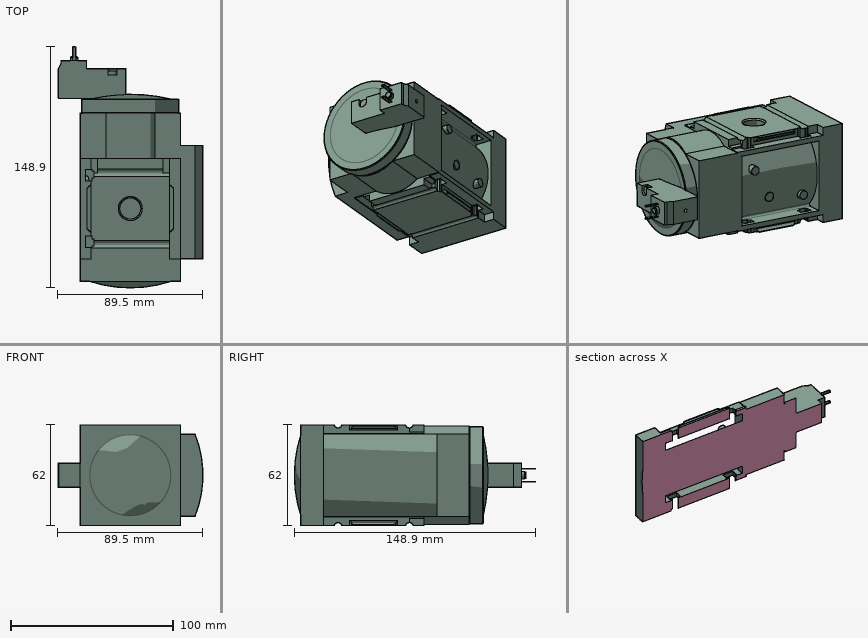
import cadquery as cq
import math


body_half = 31.0
body_front_y = -45.0
frame_half = 31.0
collar_back_y = 58.9
dome_diameter = 50.0
front_dome_height = 4.0

collar_flat_z = 25.3
crown_half_width = 15.1
crown_top_z = 30.5

head_diameter = 60.0
head_neck_diameter = 58.5
head_neck_length = 0.4
head_back_y = 67.6
head_edge = 0.5
back_dome_height = 2.9

cover_half_z = collar_flat_z
cover_edge_x = 40.0
cover_crown_x = 44.9
cover_back_y = 39.0

pad_half_x = 24.3
ledge_z = 25.8
groove_y = 22.0
groove_radius = 2.4
groove_depth = 1.75
corner_half_x = 20.1
corner_floor_z = 26.7
tongue_reach = 2.5
tongue_half_length = 14.8
tongue_drop = 0.2
tongue_tip_z = 30.3
tongue_hollow_radius = 1.6
tongue_root_z = 27.85
port_diameter = 13.0
port_mouth_diameter = 14.8
port_depth = 15.0

slot_outer_x = -27.7
slot_inner_x = -23.7
slot_near_y = 17.0
slot_far_y = 24.1
neck_inner_x = -22.3
neck_near_y = 18.8
neck_far_y = 23.1

window_front_y = -28.0
window_back_y = 27.85
window_half_z = 22.7
window_fillet = 1.05
drum_radius = 29.0
window_floor_x = -math.sqrt(drum_radius**2 - window_half_z**2)
button_diameter = 5.5
button_face_x = -30.0
button_places = [(17.4, 11.0), (-17.6, -11.0)]
plug_diameter = 6.0
plug_face_x = -28.0
plug_place = (6.0, -8.5)

coil_left_x = -44.55
coil_right_x = -2.7
coil_half_z = 7.45
coil_front_y = 67.8
coil_back_y = 91.2
coil_step_x = -26.95
coil_step_y = 86.25
coil_shoulder_x = -42.8
coil_shoulder_back_y = 89.3
coil_shoulder_front_y = 85.8
coil_corner_radius = 1.0
coil_hole_diameter = 2.0
coil_hole_depth = 5.0
coil_hole_y = 77.0

pin_x = -34.6
pin_z = 4.05
pin_width = 2.0
pin_thickness = 0.5
pin_tip_y = 99.9
pin_tip_chamfer = 0.4
stud_diameter = 4.8
stud_end_y = 93.0
stud_tip_diameter = 3.8
stud_tip_y = 93.9

screw_x = -10.9
screw_z = 4.5
screw_diameter = 5.5
screw_head_y = 84.8
screw_seat_y = 82.2


def box(x0, x1, y0, y1, z0, z1):
    """Box between two opposite corners."""
    return cq.Workplane("XY").box(x1 - x0, y1 - y0, z1 - z0, centered=False).translate((x0, y0, z0))


def rod_y(diameter, y0, y1, x=0.0, z=0.0):
    """Cylinder along Y."""
    return cq.Workplane("XZ", origin=(x, y0, z)).circle(diameter / 2).extrude(y0 - y1)


def rod_x(diameter, x0, x1, y, z):
    """Cylinder along X."""
    return cq.Workplane("YZ", origin=(x0, y, z)).circle(diameter / 2).extrude(x1 - x0)


def dome(base_y, tip_y):
    """Spherical cap on the Y axis, from its base circle to its tip."""
    base_radius = dome_diameter / 2
    height = abs(tip_y - base_y)
    sphere_radius = (base_radius**2 + height**2) / (2 * height)
    center_y = tip_y - math.copysign(sphere_radius, tip_y - base_y)
    mid_angle = math.asin(base_radius / sphere_radius) / 2
    mid_x = sphere_radius * math.sin(mid_angle)
    mid_y = center_y + math.copysign(sphere_radius * math.cos(mid_angle), tip_y - base_y)
    profile = (
        cq.Workplane("XY")
        .moveTo(0, base_y)
        .lineTo(base_radius, base_y)
        .threePointArc((mid_x, mid_y), (0, tip_y))
        .close()
    )
    return profile.revolve(360, (0, 0, 0), (0, 1, 0))


def make_collar():
    """Block behind the body with a round crown on top and bottom."""
    return (
        cq.Workplane("XZ", origin=(0, frame_half, 0))
        .moveTo(-body_half, -collar_flat_z)
        .lineTo(-body_half, collar_flat_z)
        .lineTo(-crown_half_width, collar_flat_z)
        .threePointArc((0, crown_top_z), (crown_half_width, collar_flat_z))
        .lineTo(body_half, collar_flat_z)
        .lineTo(body_half, -collar_flat_z)
        .lineTo(crown_half_width, -collar_flat_z)
        .threePointArc((0, -crown_top_z), (-crown_half_width, -collar_flat_z))
        .close()
        .extrude(frame_half - collar_back_y)
    )


def make_cover():
    """Side cover with a bulged outer face."""
    return (
        cq.Workplane("XZ", origin=(0, -frame_half, 0))
        .moveTo(body_half, -cover_half_z)
        .lineTo(cover_edge_x, -cover_half_z)
        .threePointArc((cover_crown_x, 0), (cover_edge_x, cover_half_z))
        .lineTo(body_half, cover_half_z)
        .close()
        .extrude(-frame_half - cover_back_y)
    )


def make_head():
    """Round adjusting head and its domed cap."""
    neck_end_y = collar_back_y + head_neck_length
    neck = rod_y(head_neck_diameter, collar_back_y, neck_end_y)
    disc = rod_y(head_diameter, neck_end_y, head_back_y).faces(">Y").chamfer(head_edge)
    return neck.union(disc).union(dome(head_back_y, head_back_y + back_dome_height))


def make_tongue():
    """Overhanging tongue on the -X edge of the upper pad, hollow below, with 45 degree ends."""
    tip_x = -pad_half_x - tongue_reach
    top_z = body_half - tongue_drop
    hollow_z = tongue_tip_z - tongue_hollow_radius
    hollow_mid = tongue_hollow_radius * math.sqrt(0.5)
    bar = (
        cq.Workplane("XZ", origin=(0, -tongue_half_length, 0))
        .moveTo(-pad_half_x, tongue_root_z)
        .lineTo(tip_x + tongue_hollow_radius, hollow_z)
        .threePointArc((tip_x + hollow_mid, hollow_z + hollow_mid), (tip_x, tongue_tip_z))
        .lineTo(tip_x, top_z)
        .lineTo(-pad_half_x, top_z)
        .close()
        .extrude(-2 * tongue_half_length)
    )
    tip_half_length = tongue_half_length - tongue_reach
    outline = (
        cq.Workplane("XY", origin=(0, 0, ledge_z))
        .polyline([
            (-pad_half_x, -tongue_half_length),
            (tip_x, -tip_half_length),
            (tip_x, tip_half_length),
            (-pad_half_x, tongue_half_length),
        ])
        .close()
        .extrude(body_half - ledge_z)
    )
    return bar.intersect(outline)


def make_pad_cuts():
    """Material removed around the upper pad: side ledges, grooves and back corners."""
    edge_ledge = box(-body_half, -pad_half_x, -frame_half, frame_half, ledge_z, body_half)
    corner = box(-pad_half_x, -corner_half_x, groove_y, frame_half, corner_floor_z, body_half)
    one_side = edge_ledge.union(corner)
    cuts = one_side.union(one_side.mirror("YZ"))
    groove_z = body_half - groove_depth + groove_radius
    for y in (-groove_y, groove_y):
        cuts = cuts.union(rod_x(2 * groove_radius, -pad_half_x, pad_half_x, y, groove_z))
    return cuts


def make_slot_cuts():
    """Stepped slots that run from the upper pad down into the window."""
    wide = box(slot_outer_x, slot_inner_x, slot_near_y, slot_far_y, window_half_z, body_half)
    neck = box(slot_inner_x, neck_inner_x, neck_near_y, neck_far_y, window_half_z, body_half)
    slot = wide.union(neck)
    return slot.union(slot.mirror("XZ"))


def cut_port(solid):
    """Blind port in the upper pad with a countersunk mouth."""
    mouth_depth = (port_mouth_diameter - port_diameter) / 2
    bore = (
        cq.Workplane("XY", origin=(0, 0, body_half))
        .circle(port_diameter / 2)
        .extrude(-port_depth)
    )
    mouth = (
        cq.Workplane("XY", origin=(0, 0, body_half))
        .circle(port_mouth_diameter / 2)
        .workplane(offset=-mouth_depth)
        .circle(port_diameter / 2)
        .loft()
    )
    return solid.cut(bore).cut(mouth)


def make_window_cut():
    """Side window whose floor is the round drum inside the body."""
    window = box(
        -body_half, window_floor_x, window_front_y, window_back_y, -window_half_z, window_half_z
    )
    window = window.cut(rod_y(2 * drum_radius, window_front_y, window_back_y))
    return window.edges(">X and |Y").fillet(window_fillet)


def make_body():
    """Body block with all its side features and end parts."""
    body = box(-body_half, body_half, body_front_y, frame_half, -body_half, body_half)
    pad_cuts = make_pad_cuts()
    slot_cuts = make_slot_cuts()
    tongue = make_tongue()
    tongues = tongue.union(tongue.mirror("YZ"))

    body = body.cut(pad_cuts).cut(pad_cuts.mirror("XY"))
    body = body.union(tongues).union(tongues.mirror("XY"))
    body = body.cut(make_window_cut())
    body = body.cut(slot_cuts).cut(slot_cuts.mirror("XY"))
    body = cut_port(body)

    for y, z in button_places:
        body = body.union(rod_x(button_diameter, button_face_x, window_floor_x, y, z))
    body = body.cut(rod_x(plug_diameter, -body_half, plug_face_x, *plug_place))
    body = body.union(rod_x(plug_diameter, plug_face_x, window_floor_x, *plug_place))

    body = body.union(dome(body_front_y, body_front_y - front_dome_height))
    return body.union(make_collar()).union(make_cover()).union(make_head())


def make_coil():
    """Stepped solenoid coil with its pins, stud, screw and locating hole."""
    coil = (
        cq.Workplane("XY", origin=(0, 0, -coil_half_z))
        .polyline([
            (coil_left_x, coil_front_y),
            (coil_right_x, coil_front_y),
            (coil_right_x, coil_step_y),
            (coil_step_x, coil_step_y),
            (coil_step_x, coil_back_y),
            (coil_shoulder_x, coil_back_y),
            (coil_shoulder_x, coil_shoulder_back_y),
            (coil_left_x, coil_shoulder_front_y),
        ])
        .close()
        .extrude(2 * coil_half_z)
        .edges("|Z and <X and <Y")
        .fillet(coil_corner_radius)
    )
    hole_end_x = coil_left_x + coil_hole_depth
    coil = coil.cut(rod_x(coil_hole_diameter, coil_left_x, hole_end_x, coil_hole_y, 0))

    screw_radius = screw_diameter / 2
    screw_pocket = rod_y(screw_diameter, screw_seat_y, coil_step_y, screw_x, screw_z).union(
        box(
            screw_x - screw_radius, screw_x + screw_radius,
            screw_seat_y, coil_step_y,
            screw_z, coil_half_z,
        )
    )
    coil = coil.cut(screw_pocket)
    coil = coil.union(rod_y(screw_diameter, screw_seat_y, screw_head_y, screw_x, screw_z))

    coil = coil.union(rod_y(stud_diameter, coil_back_y, stud_end_y, pin_x))
    coil = coil.union(rod_y(stud_tip_diameter, stud_end_y, stud_tip_y, pin_x))
    for z in (-pin_z, pin_z):
        pin = box(
            pin_x - pin_width / 2, pin_x + pin_width / 2,
            coil_back_y, pin_tip_y,
            z - pin_thickness / 2, z + pin_thickness / 2,
        )
        coil = coil.union(pin.edges(">Y and |Z").chamfer(pin_tip_chamfer))
    return coil


result = make_body().union(make_coil())